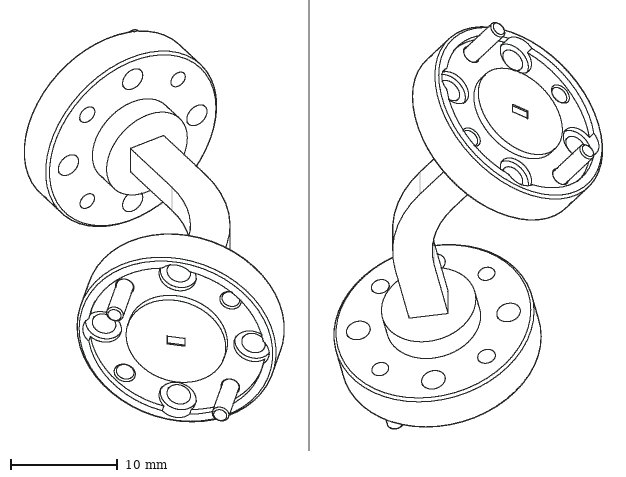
import cadquery as cq
import math

flange_diameter = 19.05
flange_thickness = 4.25
flange_chamfer = 0.25
hub_diameter = 8.98
hub_length = 2.45

pad_diameter = 9.55
rim_inner_diameter = 16.87
recess_depth = 0.75

bolt_circle_diameter = 14.3
screw_hole_diameter = 2.25
counterbore_diameter = 3.55
counterbore_below_recess = 0.5
counterbore_depth = recess_depth + counterbore_below_recess
alignment_hole_diameter = 1.7
alignment_hole_chamfer = 0.17
screw_angles = [0, 90, 180, 270]
alignment_hole_angles = [135, 315]
pin_angles = [45, 225]

pin_diameter = 1.6
pin_projection = 3.8
pin_chamfer = 0.17
pin_hole_chamfer = 0.1

tube_width = 3.7
tube_height = 2.7
bend_radius = 12.75
bend_angle = 45
straight_length = 13.85
aperture_width = 1.73
aperture_height = 0.9
aperture_depth = 0.17


def disc(diameter, start, end):
    """Cylinder along X from start to end, centred on the flange axis."""
    return cq.Workplane("YZ").workplane(offset=start).circle(diameter / 2).extrude(end - start)


def on_bolt_circle(shape, angles):
    """Copies of a shape modelled on the X axis, moved out to the bolt circle; angles start at +Y."""
    outer = shape.translate((0, bolt_circle_diameter / 2, 0))
    return [outer.rotate((0, 0, 0), (1, 0, 0), angle) for angle in angles]


def chamfered_hole(diameter, chamfer):
    """Cutter for a through hole with a chamfered mouth at the recess floor."""
    mouth_radius = diameter / 2 + chamfer
    cone = cq.Solid.makeCone(
        mouth_radius, diameter / 2, chamfer, cq.Vector(recess_depth, 0, 0), cq.Vector(1, 0, 0)
    )
    return disc(diameter, 0, flange_thickness).union(cq.Workplane(cone))


def make_flange():
    """Flange and hub with the mating face at X = 0, facing -X."""
    flange = disc(flange_diameter, 0, flange_thickness).faces("<X or >X").chamfer(flange_chamfer)
    flange = flange.union(disc(hub_diameter, flange_thickness, flange_thickness + hub_length))

    recess = disc(rim_inner_diameter, 0, recess_depth).cut(disc(pad_diameter, 0, recess_depth))
    flange = flange.cut(recess)

    screw_hole = disc(screw_hole_diameter, 0, flange_thickness)
    screw_hole = screw_hole.union(disc(counterbore_diameter, 0, counterbore_depth))
    alignment_hole = chamfered_hole(alignment_hole_diameter, alignment_hole_chamfer)
    pin_hole = chamfered_hole(pin_diameter, pin_hole_chamfer)
    for cutter, angles in (
        (screw_hole, screw_angles),
        (alignment_hole, alignment_hole_angles),
        (pin_hole, pin_angles),
    ):
        for hole in on_bolt_circle(cutter, angles):
            flange = flange.cut(hole)

    aperture = cq.Workplane("YZ").rect(aperture_width, aperture_height).extrude(aperture_depth)
    return flange.cut(aperture)


def make_pins():
    """Two pins for the flange at X = 0, flush with the back of the flange."""
    pin = disc(pin_diameter, -pin_projection, flange_thickness).faces("<X").chamfer(pin_chamfer)
    return on_bolt_circle(pin, pin_angles)


bend = math.radians(bend_angle)
bend_end_x = straight_length + bend_radius * math.sin(bend)
bend_end_y = -bend_radius * (1 - math.cos(bend))
far_face_x = bend_end_x + straight_length * math.cos(bend)
far_face_y = bend_end_y - straight_length * math.sin(bend)
bend_middle_x = straight_length + bend_radius * math.sin(bend / 2)
bend_middle_y = -bend_radius * (1 - math.cos(bend / 2))


def at_far_end(shape):
    """Move a shape from the flange at X = 0 to the flange at the other end of the tube."""
    turned = shape.rotate((0, 0, 0), (0, 0, 1), 180 - bend_angle)
    return turned.translate((far_face_x, far_face_y, 0))


def make_tube():
    """Bent bar running from the back of one flange to the back of the other."""
    far_start_x = far_face_x - flange_thickness * math.cos(bend)
    far_start_y = far_face_y + flange_thickness * math.sin(bend)
    path = (
        cq.Workplane("XY")
        .moveTo(flange_thickness, 0)
        .lineTo(straight_length, 0)
        .threePointArc((bend_middle_x, bend_middle_y), (bend_end_x, bend_end_y))
        .lineTo(far_start_x, far_start_y)
    )
    section = cq.Workplane("YZ", origin=(flange_thickness, 0, 0)).rect(tube_width, tube_height)
    return section.sweep(path)


flange = make_flange()
waveguide = make_tube().union(flange).union(at_far_end(flange))

near_pins = make_pins()
pins = near_pins + [at_far_end(pin) for pin in near_pins]

result = cq.Compound.makeCompound([waveguide.val(), *[pin.val() for pin in pins]])